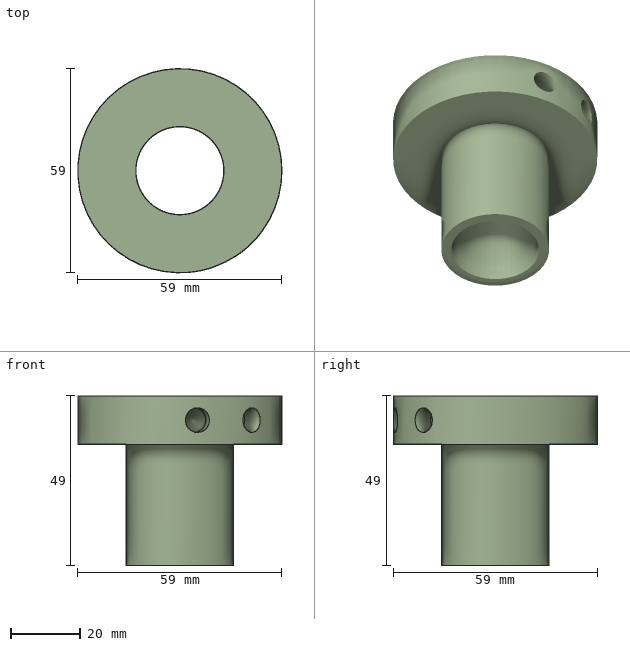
import cadquery as cq
import math

flange_diameter = 59.0
flange_thickness = 14.05
total_height = 49.0
sleeve_diameter = 31.1
sleeve_length = total_height - flange_thickness
bore_diameter = 25.35

hole_diameter = 7.0
hole_depth = 6.5
hole_tip_angle = 90.0
hole_angles = (-80.0, -45.0)


def make_bushing_blank():
    """Sleeve with the flange on top and a plain bore through both."""
    sleeve = cq.Workplane("XY").circle(sleeve_diameter / 2).extrude(sleeve_length)
    flange = (
        cq.Workplane("XY")
        .workplane(offset=sleeve_length)
        .circle(flange_diameter / 2)
        .extrude(flange_thickness)
    )
    bore = cq.Workplane("XY").circle(bore_diameter / 2).extrude(total_height)
    return sleeve.union(flange).cut(bore)


def make_rim_hole_cutter(angle):
    """Drill shape with a conical tip that points at the bore axis."""
    hole_radius = hole_diameter / 2
    tip_length = hole_radius / math.tan(math.radians(hole_tip_angle / 2))
    rim_radius = flange_diameter / 2
    floor_radius = rim_radius - hole_depth
    outer_end = rim_radius + hole_radius
    cutter = (
        cq.Workplane("XZ")
        .moveTo(floor_radius - tip_length, 0)
        .lineTo(floor_radius, hole_radius)
        .lineTo(outer_end, hole_radius)
        .lineTo(outer_end, 0)
        .close()
        .revolve(360, (0, 0, 0), (1, 0, 0))
    )
    middle_z = sleeve_length + flange_thickness / 2
    return cutter.rotate((0, 0, 0), (0, 0, 1), angle).translate((0, 0, middle_z))


def make_bushing():
    """Flanged bushing with the blind holes drilled in its rim."""
    body = make_bushing_blank()
    for angle in hole_angles:
        body = body.cut(make_rim_hole_cutter(angle))
    return body


bushing = make_bushing()

result = cq.Compound.makeCompound([bushing.solids().val()])